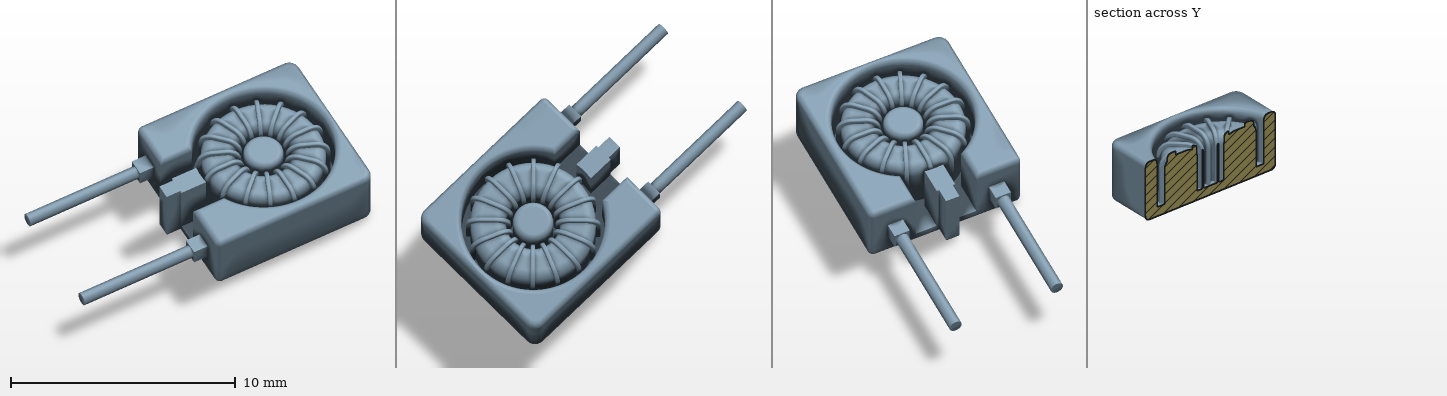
import cadquery as cq
import math

total_length = 14.21
case_width = 7.5
case_length = 8.0
case_height = 3.0
edge_radius = 0.25
back_corner_radius = 0.5
floor_thickness = 0.5

pocket_center_y = 4.4
pocket_radius = 3.2
slot_width = 3.0
cut_clearance = 0.14

core_outer_radius = 2.8
core_inner_radius = 1.2
core_edge_radius = 0.5
hub_radius = 0.9

turn_count = 16
wire_size = 0.2
wire_edge_radius = 0.064
wire_sink = 0.01
core_top = case_height - wire_size

tongue_width = 0.91
nose_width = 0.67
front_projection = 0.7
collar_size = 0.75
pin_spacing = 5.0
pin_diameter = 0.6
pin_length = total_length - case_length
pin_height = case_height / 2


def block(width, y_start, y_end, z_start, z_end, x=0.0):
    """Box centred on x, between two Y positions and two heights."""
    return (
        cq.Workplane("XY")
        .box(width, y_end - y_start, z_end - z_start, centered=(True, False, False))
        .translate((x, y_start, z_start))
    )


def flared_half_profile(half_width):
    """Half of an opening's cross-section, with a rounded-over lip at the top of the case."""
    lip_start = case_height - edge_radius
    lip_mid_in = half_width + edge_radius * (1 - math.cos(math.pi / 4))
    lip_mid_up = lip_start + edge_radius * math.sin(math.pi / 4)
    lip_edge = half_width + edge_radius
    cut_top = case_height + cut_clearance
    return (
        cq.Workplane("XZ")
        .moveTo(0, floor_thickness)
        .lineTo(half_width, floor_thickness)
        .lineTo(half_width, lip_start)
        .threePointArc((lip_mid_in, lip_mid_up), (lip_edge, case_height))
        .lineTo(lip_edge, cut_top)
        .lineTo(0, cut_top)
        .close()
    )


def at_pocket(shape):
    """Move a shape built around the Z axis to the pocket centre."""
    return shape.translate((0, pocket_center_y, 0))


def make_case():
    case = block(case_width, 0, case_length, 0, case_height)
    case = case.edges("|Z and >Y").fillet(back_corner_radius)
    case = case.edges("|Z and <Y").fillet(edge_radius)
    case = case.faces("<Z or >Z").edges().fillet(edge_radius)

    pocket = at_pocket(flared_half_profile(pocket_radius).revolve(360, (0, 0, 0), (0, 1, 0)))
    half_slot = flared_half_profile(slot_width / 2).extrude(-(pocket_center_y + cut_clearance))
    half_slot = half_slot.translate((0, -cut_clearance, 0))
    return case.cut(pocket).cut(half_slot).cut(half_slot.mirror("YZ"))


def make_tongue():
    """Post standing in the slot, with a narrower nose reaching past the front face."""
    post = block(tongue_width, 0, pocket_center_y, 0, case_height)
    post = post.cut(at_pocket(cq.Workplane("XY").circle(pocket_radius).extrude(case_height)))
    post = post.cut(block(tongue_width, 0, pocket_center_y, 0, floor_thickness))
    nose = block(nose_width, -front_projection, edge_radius, 0, case_height)
    nose = nose.faces("<Z").edges("|Y or <Y").fillet(edge_radius)
    return post.union(nose)


def make_core():
    core = (
        cq.Workplane("XY", origin=(0, 0, floor_thickness))
        .circle(core_outer_radius)
        .circle(core_inner_radius)
        .extrude(core_top - floor_thickness)
        .faces(">Z").edges().fillet(core_edge_radius)
    )
    return at_pocket(core)


def make_hub():
    hub = (
        cq.Workplane("XY", origin=(0, 0, floor_thickness))
        .circle(hub_radius)
        .extrude(core_top - floor_thickness)
        .faces(">Z").edges().fillet(edge_radius)
    )
    return at_pocket(hub)


def arch(protrusion, depth):
    """Solid following the core's cross-section along +X, enlarged all round by the protrusion."""
    outer = core_outer_radius + protrusion
    inner = core_inner_radius - protrusion
    return (
        cq.Workplane("XY")
        .box(outer - inner, depth, core_top + protrusion - floor_thickness, centered=(False, True, False))
        .translate((inner, 0, floor_thickness))
        .edges("|Y and >Z").fillet(core_edge_radius + protrusion)
    )


def make_turn():
    """One wire from the pocket floor, over the core along +X and back down inside it."""
    outer_shape = arch(wire_size, wire_size).edges("(>Y or <Y) and (not <Z)").fillet(wire_edge_radius)
    return outer_shape.cut(arch(-wire_sink, 2 * wire_size))


def make_pin(x):
    """Square collar on the front face with a round pin running through it."""
    collar = block(collar_size, -front_projection, edge_radius,
                   pin_height - collar_size / 2, pin_height + collar_size / 2, x)
    pin = cq.Workplane("XZ", origin=(x, 0, pin_height)).circle(pin_diameter / 2).extrude(pin_length)
    return collar.union(pin)


result = make_case().union(make_tongue()).union(make_core()).union(make_hub())

turn = make_turn()
for index in range(turn_count):
    angle = 360 / turn_count * index
    result = result.union(at_pocket(turn.rotate((0, 0, 0), (0, 0, 1), angle)))

for side in (-1, 1):
    result = result.union(make_pin(side * pin_spacing / 2))